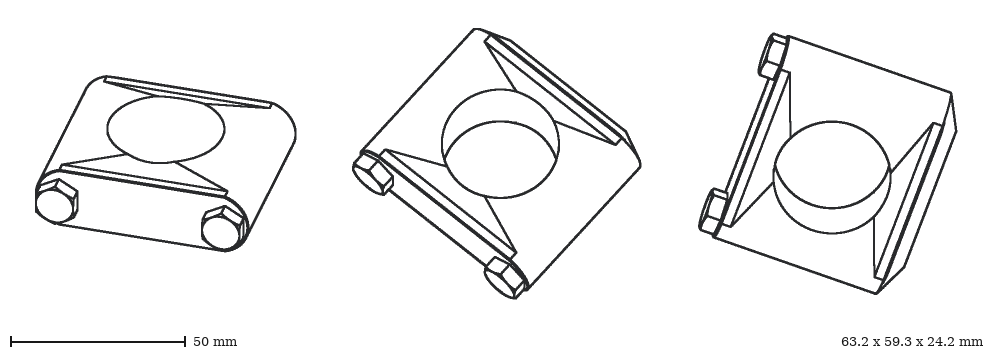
import cadquery as cq
import math

body_width = 63.2
body_thickness = 18.95
body_depth = 49.8
end_radius = 9.9
edge_chamfer = 0.25
end_center_x = body_width / 2 - end_radius
half_thickness = body_thickness / 2
half_depth = body_depth / 2
flat_half_width = end_center_x + math.sqrt(end_radius**2 - half_thickness**2)

bore_radius = 16.75
collar_half_height = 12.1
collar_half_depth = 21.85
rim_half_depth = 15.2
rim_half_width = math.sqrt(bore_radius**2 - rim_half_depth**2)

wedge_height = 5.0

bolt_x = 24.7
head_across_flats = 11.1
head_height = 4.5
head_chamfer_angle = 30.0


def make_body():
    straight_length = 2 * end_center_x
    rounded = (
        cq.Workplane("XZ", origin=(0, half_depth, 0))
        .slot2D(straight_length + 2 * end_radius, 2 * end_radius)
        .extrude(body_depth)
    )
    slab = cq.Workplane("XY").box(body_width, body_depth, body_thickness)
    return rounded.intersect(slab).faces("<Y or >Y").edges().chamfer(edge_chamfer)


def make_wedge():
    """Triangular ridge along X, closed at each end by a cone."""
    base_radius = end_radius - edge_chamfer
    base_y = half_depth
    wedge = (
        cq.Workplane("YZ", origin=(-end_center_x, 0, 0))
        .polyline([(base_y, -base_radius), (base_y + wedge_height, 0), (base_y, base_radius)])
        .close()
        .extrude(2 * end_center_x)
    )
    for x in (-end_center_x, end_center_x):
        cone = cq.Solid.makeCone(
            base_radius, 0, wedge_height, cq.Vector(x, base_y, 0), cq.Vector(0, 1, 0)
        )
        wedge = wedge.union(cq.Workplane(cone))
    trim_height = 2 * (half_thickness - edge_chamfer)
    return wedge.intersect(cq.Workplane("XY").box(body_width, 2 * body_width, trim_height))


def flat_face(*corners):
    return cq.Face.makeFromWires(cq.Wire.makePolygon([cq.Vector(*c) for c in corners], close=True))


def rim_arc(start_angle, end_angle):
    """Arc of the bore rim, angles in radians from +X."""
    points = [
        cq.Vector(bore_radius * math.cos(a), bore_radius * math.sin(a), collar_half_height)
        for a in (start_angle, (start_angle + end_angle) / 2, end_angle)
    ]
    return cq.Edge.makeThreePointArc(*points)


def make_collar():
    """Upper half of the collar, solid across the bore, from the mid plane up to the rim."""
    w, d = flat_half_width, collar_half_depth
    base_z, rim_z = half_thickness, collar_half_height
    rim_angle = math.atan2(rim_half_depth, rim_half_width)
    faces = [flat_face((-w, -d, 0), (w, -d, 0), (w, d, 0), (-w, d, 0))]

    for sy in (-1, 1):
        left, right = (-w, sy * d, base_z), (w, sy * d, base_z)
        rim_left = (-rim_half_width, sy * rim_half_depth, rim_z)
        rim_right = (rim_half_width, sy * rim_half_depth, rim_z)
        faces.append(flat_face((-w, sy * d, 0), (w, sy * d, 0), right, left))
        faces.append(flat_face(left, right, rim_right, rim_left))

    for sx in (-1, 1):
        side_y = (-d, -rim_half_depth, 0, rim_half_depth, d)
        wall_top = [(sx * w, y, base_z) for y in side_y]
        faces.append(flat_face((sx * w, d, 0), (sx * w, -d, 0), *wall_top))
        axis_angle = 0 if sx > 0 else math.pi
        for sy in (-1, 1):
            corner = (sx * w, sy * d, base_z)
            shoulder = (sx * w, sy * rim_half_depth, base_z)
            rim_point = (sx * rim_half_width, sy * rim_half_depth, rim_z)
            faces.append(flat_face(corner, shoulder, rim_point))
            side_edge = cq.Edge.makeLine(cq.Vector(sx * w, 0, base_z), cq.Vector(*shoulder))
            arc = rim_arc(axis_angle, axis_angle + sx * sy * rim_angle)
            faces.append(cq.Face.makeRuledSurface(side_edge, arc))

    lid_edges = [
        rim_arc(-rim_angle, 0),
        rim_arc(0, rim_angle),
        rim_arc(math.pi - rim_angle, math.pi),
        rim_arc(math.pi, math.pi + rim_angle),
    ]
    for sy in (-1, 1):
        lid_edges.append(
            cq.Edge.makeLine(
                cq.Vector(-rim_half_width, sy * rim_half_depth, rim_z),
                cq.Vector(rim_half_width, sy * rim_half_depth, rim_z),
            )
        )
    faces.append(cq.Face.makeFromWires(cq.Wire.combine(lid_edges)[0]))
    solid = cq.Solid.makeSolid(cq.Shell.makeShell(faces)).fix()
    return cq.Workplane(solid)


def make_bolt_head(x):
    """Hexagonal head with two flats facing sideways and chamfered outer corners."""
    flat_radius = head_across_flats / 2
    corner_radius = flat_radius / math.cos(math.radians(30))
    seat = cq.Workplane("XZ", origin=(x, -half_depth, 0))
    head = (
        seat.transformed(rotate=(0, 0, 30))
        .polygon(6, 2 * corner_radius)
        .extrude(head_height)
    )
    cone_slope = math.tan(math.radians(head_chamfer_angle))
    cone_base_radius = flat_radius + head_height / cone_slope
    cone = cq.Solid.makeCone(
        cone_base_radius,
        flat_radius,
        head_height,
        cq.Vector(x, -half_depth, 0),
        cq.Vector(0, -1, 0),
    )
    return head.intersect(cq.Workplane(cone))


collar = make_collar()
bore = cq.Workplane("XY").circle(bore_radius).extrude(collar_half_height, both=True)

result = make_body().union(make_wedge()).union(collar).union(collar.mirror("XY")).cut(bore)
for head_x in (-bolt_x, bolt_x):
    result = result.union(make_bolt_head(head_x))